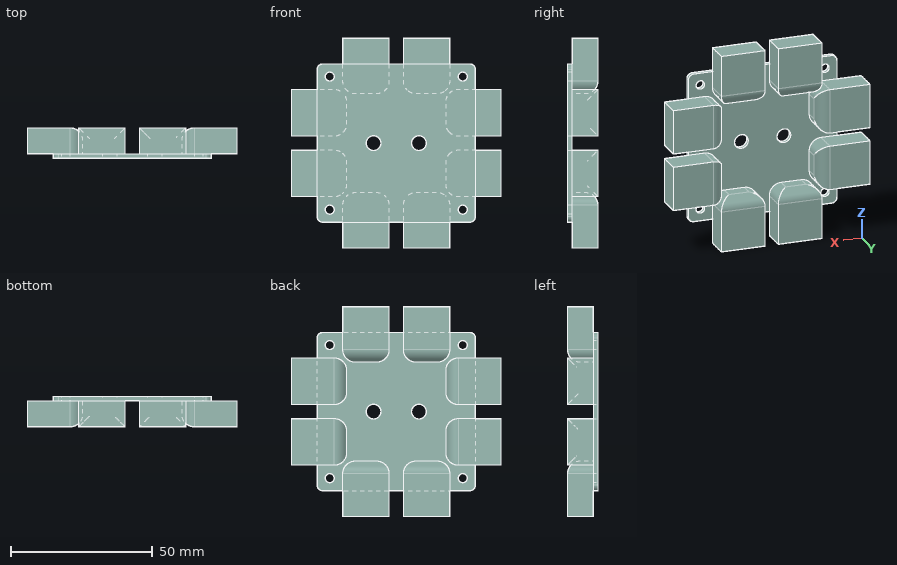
import cadquery as cq

outer_span = 74.2
total_depth = 10.8
plate_side = 56.0
plate_thickness = 1.6
plate_corner_radius = 2.0

corner_hole_diameter = 3.1
corner_hole_spacing = 47.05
center_hole_diameter = 5.1
center_hole_spacing = 16.0

block_width = 16.5
block_gap = 5.0
block_straight_length = 15.1
block_end_radius = 4.45
block_height = total_depth - plate_thickness
block_length = block_straight_length + block_end_radius
block_offset = (block_gap + block_width) / 2


def make_plate():
    """Plate with rounded corners, four corner holes and two central holes."""
    corner_hole_radius = corner_hole_diameter / 2
    center_hole_radius = center_hole_diameter / 2
    plate = (
        cq.Workplane("XZ")
        .rect(plate_side, plate_side)
        .extrude(-plate_thickness)
        .edges("|Y")
        .fillet(plate_corner_radius)
    )
    corner_holes = (
        cq.Workplane("XZ")
        .rect(corner_hole_spacing, corner_hole_spacing, forConstruction=True)
        .vertices()
        .circle(corner_hole_radius)
        .extrude(-plate_thickness)
    )
    center_holes = (
        cq.Workplane("XZ")
        .rarray(center_hole_spacing, 0.75, 2, 1)
        .circle(center_hole_radius)
        .extrude(-plate_thickness)
    )
    return plate.cut(corner_holes).cut(center_holes)


def make_block(x_center):
    """Block overhanging the top side, its inner end rounded except at the plate."""
    return (
        cq.Workplane("XY")
        .box(block_width, block_height, block_length, centered=(True, False, False))
        .faces("<Z")
        .edges("not <Y")
        .fillet(block_end_radius)
        .translate((x_center, plate_thickness, outer_span / 2 - block_length))
    )


result = make_plate()
for angle in (0, 90, 180, 270):
    for x_center in (-block_offset, block_offset):
        block = make_block(x_center).rotate((0, 0, 0), (0, 1, 0), angle)
        result = result.union(block)